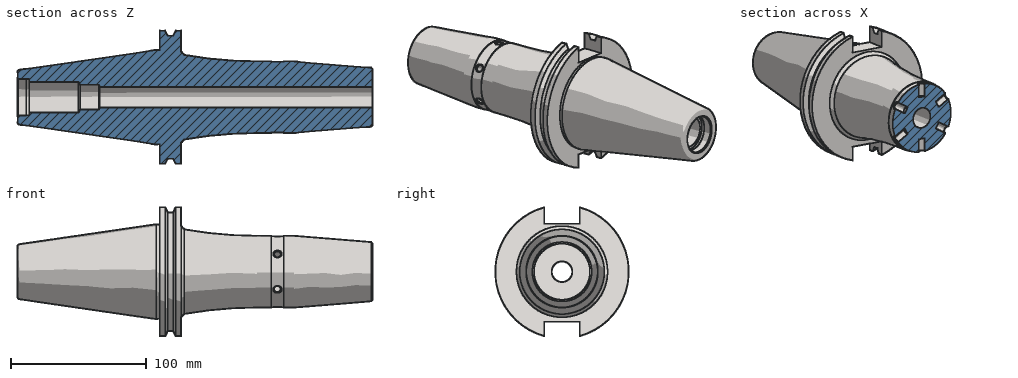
import cadquery as cq
import math


GAUGE_DIA = 69.85
TAPER_RATIO = 7 / 24
SHANK_LENGTH = 101.6
SHANK_END_ROUND = 1.8
SHANK_END_ARC_RADIUS = 2.0
CONE_OVERRUN = 0.8
RELIEF_DIA = 69.65
RELIEF_START = 1.6

FLANGE_DIA = 98.43
FLANGE_START = 3.175
FLANGE_END = 19.05
GROOVE_FLOOR_DIA = 91.2
GROOVE_CENTER = (FLANGE_START + FLANGE_END) / 2
GROOVE_FLOOR_WIDTH = 3.9
GROOVE_FLANK_ANGLE = 27

SLOT_WIDTH = 25.9
UPPER_SLOT_FLOOR = 35.3
LOWER_SLOT_FLOOR = 37.0

BODY_DIA = 53.0
NECK_ROOT_DIA = 62.4
NECK_CHAMFER = 2.4
NECK_END = 75.0
RING_DIA = 52.4
RING_START = 85.2
RING_END = 94.6
NOSE_START = 102.2
NOSE_END = 160.0
NOSE_ANGLE = 4.65
NOSE_CHAMFER = 1.2

ENTRY_DIA = 28.3
MOUTH_DIA = 26.8
MOUTH_DEPTH = 6.6
PILOT_DIA = 26.5
PILOT_DEPTH = 8.8
THREAD_DIA = 22.3
THREAD_DEPTH = 45.0
MIDDLE_DIA = 18.0
MIDDLE_DEPTH = 60.0
THROUGH_DIA = 15.0
BORE_STEP_ANGLE = 60

SCREW_COUNT = 6
SCREW_DIA = 4.92
SCREW_MOUTH_DIA = 6.4
SCREW_DEPTH = 10.0


def body_of_revolution():
    gauge_radius = GAUGE_DIA / 2
    shank_end_radius = gauge_radius - SHANK_LENGTH * TAPER_RATIO / 2
    shoulder_radius = shank_end_radius + SHANK_END_ROUND * TAPER_RATIO / 2
    cone_end_radius = gauge_radius + CONE_OVERRUN * TAPER_RATIO / 2
    relief_radius = RELIEF_DIA / 2
    flange_radius = FLANGE_DIA / 2
    body_radius = BODY_DIA / 2
    ring_radius = RING_DIA / 2
    neck_radius = NECK_ROOT_DIA / 2
    neck_start = FLANGE_END + NECK_CHAMFER
    nose_radius = body_radius - (NOSE_END - NOSE_START) * math.tan(math.radians(NOSE_ANGLE))

    neck_span = NECK_END - neck_start
    neck_rise = neck_radius - body_radius
    neck_arc_radius = (neck_span**2 + neck_rise**2) / (2 * neck_rise)
    half_span = neck_span / 2
    neck_mid_radius = body_radius + neck_arc_radius - math.sqrt(neck_arc_radius**2 - half_span**2)

    profile = (
        cq.Workplane("XZ")
        .moveTo(-SHANK_LENGTH, 0)
        .lineTo(-SHANK_LENGTH, shank_end_radius - SHANK_END_ROUND)
        .radiusArc((-SHANK_LENGTH + SHANK_END_ROUND, shoulder_radius), SHANK_END_ARC_RADIUS)
        .lineTo(CONE_OVERRUN, cone_end_radius)
        .lineTo(RELIEF_START, relief_radius)
        .lineTo(FLANGE_START, relief_radius)
        .lineTo(FLANGE_START, flange_radius)
        .lineTo(FLANGE_END, flange_radius)
        .lineTo(FLANGE_END, neck_radius + NECK_CHAMFER)
        .lineTo(neck_start, neck_radius)
        .threePointArc((NECK_END - half_span, neck_mid_radius), (NECK_END, body_radius))
        .lineTo(RING_START, body_radius)
        .lineTo(RING_START, ring_radius)
        .lineTo(RING_END, ring_radius)
        .lineTo(RING_END, body_radius)
        .lineTo(NOSE_START, body_radius)
        .lineTo(NOSE_END, nose_radius)
        .lineTo(NOSE_END, 0)
        .close()
    )
    body = profile.revolve(360, (0, 0, 0), (1, 0, 0))
    return body.faces(">X").edges().chamfer(NOSE_CHAMFER)


def gripper_groove():
    floor_radius = GROOVE_FLOOR_DIA / 2
    rim_radius = FLANGE_DIA / 2
    half_floor = GROOVE_FLOOR_WIDTH / 2
    flank_slope = math.tan(math.radians(GROOVE_FLANK_ANGLE))
    half_mouth = half_floor + (rim_radius - floor_radius) * flank_slope
    return (
        cq.Workplane("XZ")
        .moveTo(GROOVE_CENTER - half_floor, floor_radius)
        .lineTo(GROOVE_CENTER + half_floor, floor_radius)
        .lineTo(GROOVE_CENTER + half_mouth, rim_radius)
        .lineTo(GROOVE_CENTER - half_mouth, rim_radius)
        .close()
        .revolve(360, (0, 0, 0), (1, 0, 0))
    )


def drive_slot(floor_height, side):
    length = FLANGE_END - FLANGE_START
    height = FLANGE_DIA / 2 - floor_height
    center = (FLANGE_START + length / 2, 0, side * (floor_height + height / 2))
    return cq.Workplane("XY").box(length, SLOT_WIDTH, height).translate(center)


def stepped_bore():
    entry_radius = ENTRY_DIA / 2
    mouth_radius = MOUTH_DIA / 2
    pilot_radius = PILOT_DIA / 2
    thread_radius = THREAD_DIA / 2
    middle_radius = MIDDLE_DIA / 2
    through_radius = THROUGH_DIA / 2
    cone_slope = math.tan(math.radians(BORE_STEP_ANGLE))
    thread_cone_end = THREAD_DEPTH + (thread_radius - middle_radius) / cone_slope
    middle_cone_end = MIDDLE_DEPTH + (middle_radius - through_radius) / cone_slope
    return (
        cq.Workplane("XZ", origin=(-SHANK_LENGTH, 0, 0))
        .lineTo(0, entry_radius)
        .lineTo(entry_radius - mouth_radius, mouth_radius)
        .lineTo(MOUTH_DEPTH, mouth_radius)
        .lineTo(MOUTH_DEPTH, pilot_radius)
        .lineTo(PILOT_DEPTH, pilot_radius)
        .lineTo(PILOT_DEPTH, thread_radius)
        .lineTo(THREAD_DEPTH, thread_radius)
        .lineTo(thread_cone_end, middle_radius)
        .lineTo(MIDDLE_DEPTH, middle_radius)
        .lineTo(middle_cone_end, through_radius)
        .lineTo(SHANK_LENGTH + NOSE_END, through_radius)
        .lineTo(SHANK_LENGTH + NOSE_END, 0)
        .close()
        .revolve(360, (0, 0, 0), (1, 0, 0))
    )


def screw_hole(angle):
    ring_radius = RING_DIA / 2
    floor_radius = ring_radius - SCREW_DEPTH
    clear_radius = ring_radius + SCREW_DEPTH
    countersink_depth = (SCREW_MOUTH_DIA - SCREW_DIA) / 2
    center = (RING_START + RING_END) / 2
    hole = (
        cq.Workplane("XZ", origin=(center, 0, 0))
        .moveTo(0, floor_radius)
        .lineTo(SCREW_DIA / 2, floor_radius)
        .lineTo(SCREW_DIA / 2, ring_radius - countersink_depth)
        .lineTo(SCREW_MOUTH_DIA / 2, ring_radius)
        .lineTo(SCREW_MOUTH_DIA / 2, clear_radius)
        .lineTo(0, clear_radius)
        .close()
        .revolve(360, (0, 0, 0), (0, 1, 0))
    )
    return hole.rotate((0, 0, 0), (1, 0, 0), angle)


result = body_of_revolution().cut(gripper_groove())
result = result.cut(drive_slot(UPPER_SLOT_FLOOR, 1))
result = result.cut(drive_slot(LOWER_SLOT_FLOOR, -1))

result = result.cut(stepped_bore())

for index in range(SCREW_COUNT):
    result = result.cut(screw_hole(index * 360 / SCREW_COUNT))